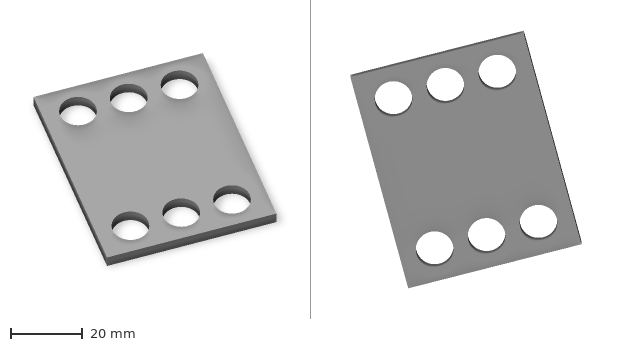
import cadquery as cq

length = 63.0
width = 50.0
thickness = 3.6

hole_diameter = 10.5
column_spacing = 45.0
row_spacing = 15.0
column_count = 2
row_count = 3

plate = cq.Workplane("XY").box(length, width, thickness)

result = (
    plate.faces(">Z")
    .workplane()
    .rarray(column_spacing, row_spacing, column_count, row_count)
    .hole(hole_diameter)
)